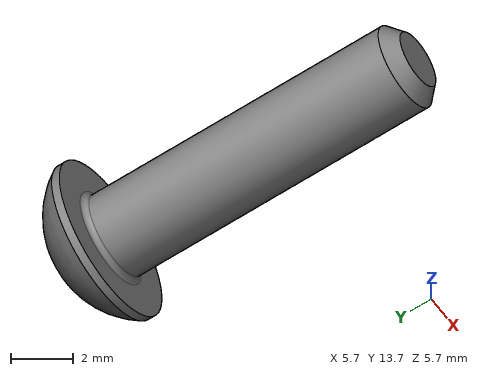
import cadquery as cq
import math

shank_diameter = 3.0
shank_length = 12.0
tip_chamfer = 0.5
neck_fillet = 0.2

head_diameter = 5.7
head_height = 1.65
head_rim_height = 0.3
head_flat_diameter = 2.6
dome_sphere_radius = 3.2

shank_radius = shank_diameter / 2
head_radius = head_diameter / 2
head_flat_radius = head_flat_diameter / 2


def dome_midpoint():
    """Point halfway along the outward-bulging arc from the rim to the flat top."""
    chord_x = head_flat_radius - head_radius
    chord_y = head_height - head_rim_height
    chord = math.hypot(chord_x, chord_y)
    bulge = dome_sphere_radius - math.sqrt(dome_sphere_radius**2 - (chord / 2) ** 2)
    middle_x = (head_radius + head_flat_radius) / 2
    middle_y = (head_rim_height + head_height) / 2
    return (middle_x + bulge * chord_y / chord, middle_y - bulge * chord_x / chord)


def revolve_about_y(half_profile):
    return half_profile.close().revolve(360, (0, 0, 0), (0, 1, 0))


def make_head():
    half_profile = (
        cq.Workplane("XY")
        .lineTo(head_radius, 0)
        .lineTo(head_radius, head_rim_height)
        .threePointArc(dome_midpoint(), (head_flat_radius, head_height))
        .lineTo(0, head_height)
    )
    return revolve_about_y(half_profile)


def make_shank():
    """Shank with a chamfered tip and a concave fillet running out into the head."""
    half_profile = (
        cq.Workplane("XY")
        .lineTo(shank_radius + neck_fillet, 0)
        .radiusArc((shank_radius, -neck_fillet), -neck_fillet)
        .lineTo(shank_radius, tip_chamfer - shank_length)
        .lineTo(shank_radius - tip_chamfer, -shank_length)
        .lineTo(0, -shank_length)
    )
    return revolve_about_y(half_profile)


result = make_head().union(make_shank())